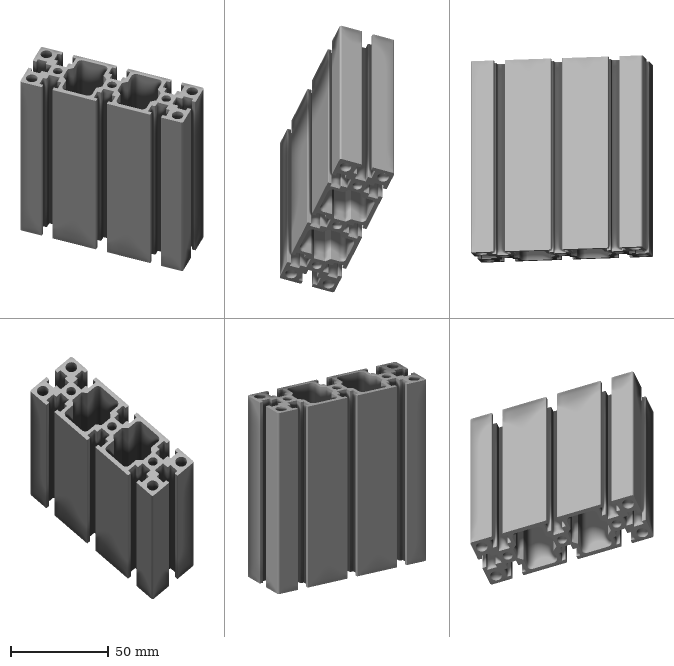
import cadquery as cq

module = 30.0
width = 3 * module
depth = module
length = 100.0
corner_radius = 1.0

slot_opening = 5.9
slot_inner_width = 10.0
slot_lip = 2.1
slot_shoulder = 7.2
slot_depth = 10.5
slot_edge_radius = 0.25

core_bore_diameter = 5.0
corner_bore_diameter = 6.0
corner_bore_inset = 4.7

chamber_wall = 2.3
chamber_width = 16.5
chamber_waist_width = 21.5
chamber_waist_flat = 6.2
chamber_waist_height = 10.6
chamber_radius = 2.5

cell_centers = [-module, 0, module]
chamber_centers = [-module / 2, module / 2]


def bores(centers, diameter):
    """Round bores running the full length."""
    return cq.Workplane("XY").pushPoints(centers).circle(diameter / 2).extrude(length)


def slot(face_distance, angle, position=0):
    """T-slot cut in from the face at face_distance; angle 0 is the back (+Y) face."""

    def layer(layer_width, outer, inner):
        """Full-length block between two depths below the face."""
        return (
            cq.Workplane("XY")
            .center(position, face_distance - (outer + inner) / 2)
            .rect(layer_width, inner - outer)
            .extrude(length)
        )

    cutter = layer(slot_opening, 0, slot_depth)
    cutter = cutter.union(layer(slot_inner_width, slot_lip, slot_shoulder))
    cutter = cutter.union(layer(slot_inner_width, -slot_lip, 0))

    reach = slot_opening / 2 + slot_edge_radius
    lip_edges = cq.selectors.BoxSelector(
        (position - reach, face_distance - slot_shoulder - slot_edge_radius, 0),
        (position + reach, face_distance + slot_edge_radius, length),
    )
    cutter = cutter.edges("|Z").edges(lip_edges).fillet(slot_edge_radius)
    return cutter.rotate((0, 0, 0), (0, 0, 1), angle)


def hollow_chamber(center_x):
    """Rounded rectangular chamber with a wider, sloped-sided waist."""
    main = (
        cq.Workplane("XY")
        .center(center_x, 0)
        .rect(chamber_width, depth - 2 * chamber_wall)
        .extrude(length)
        .edges("|Z")
        .fillet(chamber_radius)
    )
    side = chamber_width / 2
    tip = chamber_waist_width / 2
    flat = chamber_waist_flat / 2
    end = chamber_waist_height / 2
    waist = (
        cq.Workplane("XY")
        .center(center_x, 0)
        .polyline([
            (side, end), (tip, flat), (tip, -flat), (side, -end),
            (-side, -end), (-tip, -flat), (-tip, flat), (-side, end),
        ])
        .close()
        .extrude(length)
    )
    return main.union(waist)


result = cq.Workplane("XY").rect(width, depth).extrude(length).edges("|Z").fillet(corner_radius)

for x in cell_centers:
    for angle in (0, 180):
        result = result.cut(slot(depth / 2, angle, x))
for angle in (90, -90):
    result = result.cut(slot(width / 2, angle))

for x in chamber_centers:
    result = result.cut(hollow_chamber(x))

bore_x = width / 2 - corner_bore_inset
bore_y = depth / 2 - corner_bore_inset
corner_points = [(sx * bore_x, sy * bore_y) for sx in (-1, 1) for sy in (-1, 1)]
result = result.cut(bores([(x, 0) for x in cell_centers], core_bore_diameter))
result = result.cut(bores(corner_points, corner_bore_diameter))